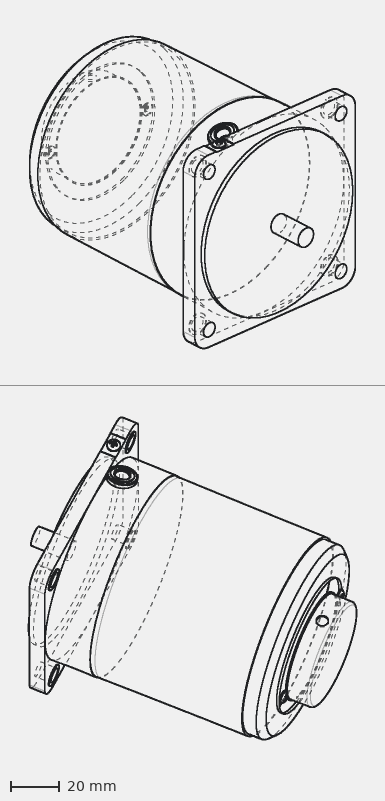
import cadquery as cq
import math

cap_base_x = 9.9
plate_x = 10.4
cover_x = 11.6
cover_shoulder_x = 14.7
body_x = 20.8
band_start_x = 87.4
band_end_x = 89.5
flange_x = 109.7
pilot_x = 116.8
shaft_x = 118.9
total_length = 135.3

cap_radius = 46.7 / 2
cap_base_radius = 47.8 / 2
plate_radius = 60.0 / 2
cover_face_radius = 40.0
cover_radius = 86.0 / 2
body_rear_radius = 44.0
body_front_radius = 44.4
collar_rear_radius = 44.6
collar_front_radius = 44.8
pilot_radius = 83.0 / 2
shaft_radius = 8.7 / 2
cap_edge_fillet = 1.1

cap_hole_diameter = 5.0
cap_hole_x = 5.0
cap_hole_depth = 1.0

flange_side = 90.0
flange_corner_radius = 7.6
mount_pitch = 73.7
mount_hole_diameter = 6.5
mount_pad_diameter = 9.5
mount_pad_height = 0.4

seat_y = -28.0
seat_width = 9.7
seat_depth = 0.37
earth_screw_x = 113.0

cap_screw_y = 27.2

head_diameter = 5.5
head_height = 2.2
head_rim_height = 0.5
cross_length = 3.0
cross_width = 0.8
cross_depth = 1.1

bushing_x = 104.2
bushing_angle = 22.5
bushing_diameter = 13.0
bushing_root_radius = 42.0
bushing_rim_radius = 46.4
bushing_edge_chamfer = 0.4
bushing_face_diameter = 10.0
bushing_face_radius = 46.8
bushing_mouth_diameter = 7.0
bushing_mouth_depth = 0.8
bushing_bore_diameter = 6.0
bushing_bore_depth = 4.7


def turned_housing():
    """Cap, cover, tapered body, pilot and shaft revolved about X."""
    outline = [
        (0, 0),
        (0, cap_radius),
        (cap_base_x, cap_radius),
        (cap_base_x, cap_base_radius),
        (plate_x, cap_base_radius),
        (plate_x, plate_radius),
        (cover_x, plate_radius),
        (cover_x, cover_face_radius),
        (cover_shoulder_x, cover_radius),
        (body_x, cover_radius),
        (body_x, body_rear_radius),
        (band_start_x, body_front_radius),
        (band_end_x, body_front_radius),
        (band_end_x, collar_rear_radius),
        (flange_x, collar_front_radius),
        (pilot_x, collar_front_radius),
        (pilot_x, pilot_radius),
        (shaft_x, pilot_radius),
        (shaft_x, shaft_radius),
        (total_length, shaft_radius),
        (total_length, 0),
    ]
    housing = cq.Workplane("XY").polyline(outline).close().revolve(360, (0, 0, 0), (1, 0, 0))
    return housing.faces("<X").edges().fillet(cap_edge_fillet)


def mounting_flange():
    """Square plate with rounded corners, raised hole pads and the screw seat."""
    thickness = pilot_x - flange_x
    flange = (
        cq.Workplane("YZ", origin=(flange_x, 0, 0))
        .rect(flange_side, flange_side)
        .extrude(thickness)
        .edges("|X")
        .fillet(flange_corner_radius)
    )
    pads = (
        cq.Workplane("YZ", origin=(flange_x - mount_pad_height, 0, 0))
        .rect(mount_pitch, mount_pitch, forConstruction=True)
        .vertices()
        .circle(mount_pad_diameter / 2)
        .extrude(mount_pad_height + thickness)
    )
    seat = cq.Workplane("XY").box(thickness, seat_width, 2 * seat_depth)
    seat = seat.translate((flange_x + thickness / 2, seat_y, flange_side / 2))
    return flange.union(pads).cut(seat)


def mounting_holes():
    """Four holes through the flange and its pads."""
    return (
        cq.Workplane("YZ", origin=(flange_x - mount_pad_height, 0, 0))
        .rect(mount_pitch, mount_pitch, forConstruction=True)
        .vertices()
        .circle(mount_hole_diameter / 2)
        .extrude(pilot_x - flange_x + mount_pad_height)
    )


def screw_head():
    """Domed cross-recessed head standing on Z = 0, rooted one height below it."""
    radius = head_diameter / 2
    dome_height = head_height - head_rim_height
    sphere_radius = (radius**2 + dome_height**2) / (2 * dome_height)
    half_angle = math.asin(radius / sphere_radius) / 2
    dome_middle = (
        sphere_radius * math.sin(half_angle),
        head_height - sphere_radius * (1 - math.cos(half_angle)),
    )
    head = (
        cq.Workplane("XZ")
        .moveTo(0, -head_height)
        .lineTo(radius, -head_height)
        .lineTo(radius, head_rim_height)
        .threePointArc(dome_middle, (0, head_height))
        .close()
        .revolve(360, (0, 0, 0), (0, 1, 0))
    )
    for length, width in ((cross_length, cross_width), (cross_width, cross_length)):
        slot = cq.Workplane("XY", origin=(0, 0, head_height - cross_depth)).rect(length, width)
        head = head.cut(slot.extrude(cross_depth))
    return head


def upright_cylinder(diameter, bottom, top):
    """Cylinder along Z between two heights."""
    return cq.Workplane("XY", origin=(0, 0, bottom)).circle(diameter / 2).extrude(top - bottom)


def cable_bushing():
    """Round bushing standing along Z, with a raised face inside a chamfered rim."""
    rim = upright_cylinder(bushing_diameter, bushing_root_radius, bushing_rim_radius)
    rim = rim.faces(">Z").chamfer(bushing_edge_chamfer)
    face = upright_cylinder(bushing_face_diameter, bushing_root_radius, bushing_face_radius)
    return rim.union(face)


def bushing_bore():
    """Blind bore of the bushing with its wider mouth, along Z."""
    top = bushing_face_radius
    mouth = upright_cylinder(bushing_mouth_diameter, top - bushing_mouth_depth, top)
    return mouth.union(upright_cylinder(bushing_bore_diameter, top - bushing_bore_depth, top))


def place_on_collar(shape):
    """Move a shape from the Z axis to the bushing position, leaning toward -Y."""
    return shape.rotate((0, 0, 0), (1, 0, 0), bushing_angle).translate((bushing_x, 0, 0))


result = turned_housing().union(mounting_flange()).cut(mounting_holes())

cap_hole = upright_cylinder(cap_hole_diameter, cap_radius - cap_hole_depth, cap_radius)
result = result.cut(cap_hole.translate((cap_hole_x, 0, 0)))

result = result.union(place_on_collar(cable_bushing())).cut(place_on_collar(bushing_bore()))

earth_screw = screw_head().translate((earth_screw_x, seat_y, flange_side / 2 - seat_depth))
result = result.union(earth_screw)

cap_screw = screw_head().rotate((0, 0, 0), (0, 1, 0), -90)
for side in (-1, 1):
    result = result.union(cap_screw.translate((plate_x, side * cap_screw_y, 0)))